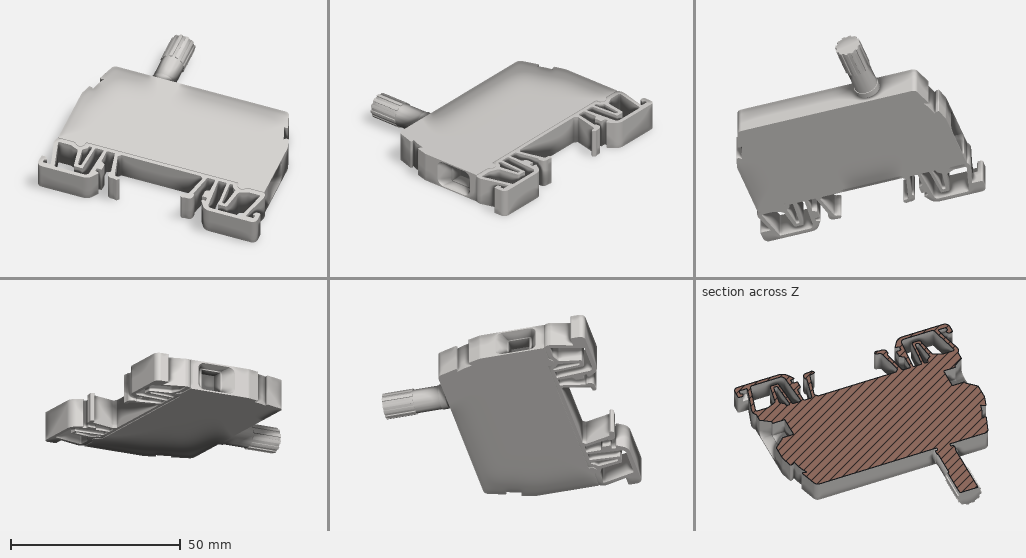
import cadquery as cq
import math

half_length = 34.5
total_height = 66.1
body_thickness = 9.0
foot_thickness = 8.55

body_half_length = 32.4
body_top = 46.4
body_shoulder = 32.3
body_skirt = 12.7
body_waist = 13.7

plate_bottom = 12.6
arm_top = 13.25
floor_top = 1.25
hook_top = 4.2
hook_floor_z = 0.0
tongue_bottom = 3.4

entry_top = 27.5
entry_bottom = 15.25
entry_width = 8.15
entry_radius = 1.8
throat_top = 24.85
throat_bottom = 17.2
throat_width = 6.6
throat_depth = 3.05
chamber_top = 24.35
chamber_bottom = 17.95
chamber_width = 6.0
chamber_depth = 6.9

plug_x = -13.1
plug_root = 41.4
neck_radius = 3.05
collar_bottom = 47.1
collar_top = 49.0
collar_radius = 3.7
shank_radius = 3.5
knurl_bottom = 56.85
knurl_radius = 3.85
rib_count = 12
rib_width = 1.0
rib_phase = 8.0


def rounded_outline(corners):
    """Closed XY outline from corners (x, y) or (x, y, radius); a radius rounds that corner."""
    count = len(corners)
    path = None
    for index, corner in enumerate(corners):
        here = cq.Vector(corner[0], corner[1])
        radius = corner[2] if len(corner) > 2 else 0
        if radius:
            before = cq.Vector(*corners[index - 1][:2])
            after = cq.Vector(*corners[(index + 1) % count][:2])
            to_before = (before - here).normalized()
            to_after = (after - here).normalized()
            half_angle = to_before.getAngle(to_after) / 2
            tangent = radius / math.tan(half_angle)
            bisector = (to_before + to_after).normalized()
            start = here + to_before * tangent
            middle = here + bisector * (radius / math.sin(half_angle) - radius)
            end = here + to_after * tangent
        else:
            start = here
        if path is None:
            path = cq.Workplane("XY").moveTo(start.x, start.y)
        else:
            path = path.lineTo(start.x, start.y)
        if radius:
            path = path.threePointArc((middle.x, middle.y), (end.x, end.y))
    return path.close()


def slab(corners, thickness):
    """Rounded outline extruded symmetrically about Z = 0."""
    return rounded_outline(corners).extrude(thickness / 2, both=True)


def make_half_body():
    """Left half of the housing, with its stepped shoulder and scalloped lower edge."""
    top_corner = (-27.6, body_top, 1.6)
    marker_notch = [(-29.6, 40.2), (-29.05, 39.95), (-28.2, 40.2), (-29.25, 38.3, 15.2)]
    shoulder_step = [(-29.95, 35.25), (-30.6, 35.8), (-31.4, 36.0, 0.3)]
    side = [(-body_half_length, body_shoulder, 2.1), (-body_half_length, body_skirt)]
    scallop = [(-27.25, body_skirt, 1.05), (-25.95, 11.6, 0.55), (-25.05, 11.6, 0.55)]
    waist_step = [(-24.1, 12.35), (-24.1, body_waist, 0.35)]
    centre = [(0, body_waist), (0, body_top)]
    corners = [top_corner] + marker_notch + shoulder_step + side + scallop + waist_step + centre
    return slab(corners, body_thickness)


def make_half_foot():
    """Left half of the rail foot: hooked outer arm, post, and spring latch."""
    arm = [(0, body_waist), (-26.2, body_waist), (-26.2, arm_top), (-33.05, arm_top, 2.1),
           (-33.05, 10.55), (-31.25, hook_top)]
    hook = [(-half_length, hook_top, 0.4), (-half_length, 0, 1.6)]
    toe = [(-18.2, 0, 3.0), (-16.15, 3.25, 0.15), (-16.5, 3.5), (-17.4, 3.65), (-17.4, 4.9, 0.4)]
    post = [(-15.8, 4.9), (-15.8, 7.3), (-17.1, 8.1), (-17.1, plate_bottom, 0.35)]
    latch_outside = [(-14.55, plate_bottom, 0.4), (-13.0, 5.1), (-13.4, 4.7), (-13.4, 2.6, 1.3)]
    latch_tip = [(-11.4, 2.6), (-10.2, 2.4, 0.2), (-9.5, 3.2, 0.2), (-9.95, 3.7, 0.2)]
    latch_inside = [(-11.4, 3.9, 0.7), (-13.3, 11.7, 0.2), (-12.5, plate_bottom, 0.2)]
    corners = arm + hook + toe + post + latch_outside + latch_tip + latch_inside
    corners.append((0, plate_bottom))
    return slab(corners, foot_thickness)


def make_foot_window():
    """Opening between the outer arm and the post, running around the hanging tongue."""
    arm_side = [(-29.3, floor_top, 0.55), (-31.9, 11.25, 0.35)]
    tongue = [(-27.95, 11.25, 2.1), (-26.2, 10.5), (-25.25, 10.1, 1.0), (-24.1, tongue_bottom, 0.55),
              (-21.3, tongue_bottom)]
    post_side = [(-20.7, plate_bottom, 0.35), (-18.0, plate_bottom, 0.35), (-18.85, floor_top, 1.25)]
    return slab(arm_side + tongue + post_side, body_thickness)


def make_tongue_slot():
    """Narrow tapering slot inside the hanging tongue."""
    corners = [(-24.1, 10.7, 0.15), (-22.9, 11.65), (-22.6, plate_bottom, 0.2),
               (-21.6, plate_bottom, 0.35), (-22.15, 4.4, 0.35), (-23.2, 4.4, 0.35)]
    return slab(corners, body_thickness)


def make_hook_pocket():
    """Curled pocket behind the hook lip, open upward and closed by a web in its lower half."""
    corners = [(-33.0, hook_top), (-32.4, 3.2, 0.15), (-33.25, 2.75, 0.2), (-33.1, 1.7, 0.2),
               (-30.7, 1.7), (-31.25, hook_top)]
    pocket = rounded_outline(corners).extrude(foot_thickness)
    return pocket.translate((0, 0, hook_floor_z))


def entry_wedge(mouth, throat, workplane, width):
    """Wedge centred on the workplane, narrowing from the mouth span to the throat span."""
    throat_x = throat_depth - body_half_length
    corners = [(-body_half_length, mouth[0]), (-body_half_length, mouth[1]),
               (throat_x, throat[1]), (throat_x, throat[0])]
    return cq.Workplane(workplane).polyline(corners).close().extrude(width / 2, both=True)


def make_wire_entry():
    """Funnel in the left end face, its sloped faces rounded at the sides, then a square chamber."""
    mouth_span = (entry_bottom, entry_top)
    throat_span = (throat_bottom, throat_top)
    slopes = entry_wedge(mouth_span, throat_span, "XY", entry_width)
    slopes = slopes.faces(">Y or <Y").edges("not |Z").fillet(entry_radius)
    sides = entry_wedge(
        (-entry_width / 2, entry_width / 2), (-throat_width / 2, throat_width / 2), "XZ", total_height
    )
    chamber = cq.Workplane("XY").box(
        chamber_depth, chamber_top - chamber_bottom, chamber_width, centered=(False, False, True)
    )
    chamber = chamber.translate((-body_half_length, chamber_bottom, 0))
    return slopes.intersect(sides).union(chamber)


def plug_cylinder(radius, bottom, top):
    """Cylinder on the plug axis, which runs along Y."""
    return cq.Workplane("XZ", origin=(plug_x, bottom, 0)).circle(radius).extrude(bottom - top)


def make_plug():
    """Neck, collar, shank and ribbed grip standing on the top of the housing."""
    neck = plug_cylinder(neck_radius, plug_root, collar_top)
    shank = plug_cylinder(shank_radius, collar_bottom, total_height)
    collar = plug_cylinder(collar_radius, collar_bottom, collar_top)
    grip_length = total_height - knurl_bottom
    ribs = (
        cq.Workplane("XZ", origin=(plug_x, knurl_bottom, 0))
        .transformed(rotate=(0, 0, rib_phase))
        .polarArray(knurl_radius / 2, 0, 360, rib_count)
        .rect(knurl_radius, rib_width)
        .extrude(-grip_length)
        .intersect(plug_cylinder(knurl_radius, knurl_bottom, total_height))
    )
    return neck.union(shank).union(collar).union(ribs)


half_foot = make_half_foot().cut(make_foot_window()).cut(make_tongue_slot()).cut(make_hook_pocket())
half = half_foot.union(make_half_body()).cut(make_wire_entry())
housing = half.union(half.mirror("YZ"))
result = housing.union(make_plug())